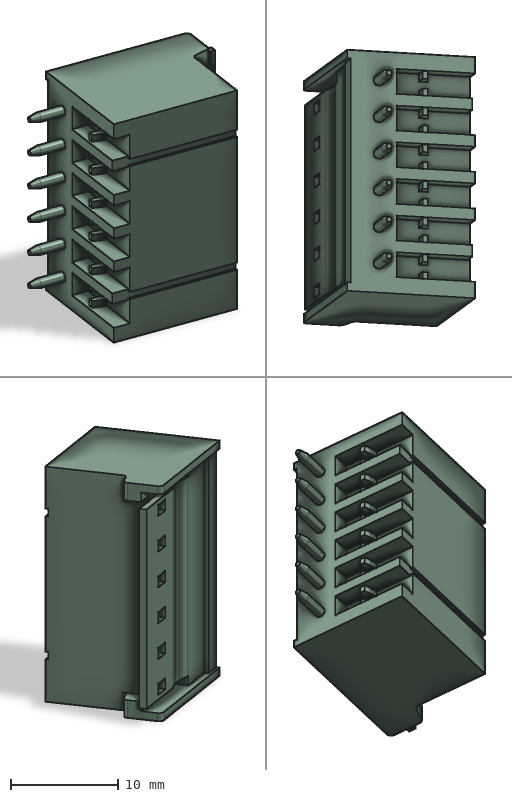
import cadquery as cq

width = 12.4
height = 23.0
depth = 13.39
mid_z = height / 2

pole_count = 6
pole_pitch = 3.5
pole_heights = [mid_z + (i - (pole_count - 1) / 2) * pole_pitch for i in range(pole_count)]

plate_thickness = 0.8
end_wall_thickness = 1.75
ear_depth = 15.48
ear_top_x = 3.8
ear_foot_x = 4.37
ear_corner_radius = 0.48
ear_foot_radius = 0.45

lip_x = 0.35
lip_end_y = 2.0
face_x = 0.75
face_start_y = 2.16
relief_start_y = 6.35
relief_floor_x = 2.07

lever_x = 0.78
lever_thickness = 0.74
lever_back_x = lever_x + lever_thickness
lever_end_y = 17.48
groove_floor_x = 1.05
groove_shoulder_x = 1.0
groove_edge_y = 10.42
groove_upper_shoulder_y = 9.55
groove_upper_floor_y = 9.02
groove_lower_floor_y = 8.05
groove_lower_shoulder_y = 7.52
groove_foot_y = 6.65
window_start_y = 12.45
window_end_y = 14.3
window_height = 1.05

slot_start_x = 4.75
slot_height = 2.4
slot_depth = 1.75

key_depth = 0.28
key_height = 0.75
rib_height = pole_pitch - slot_height
key_offset = (pole_count / 2 - 1) * pole_pitch

ridge_start_x = 7.4
ridge_tip_x = 7.87
ridge_bend_x = 8.07
ridge_root_x = 8.28
ridge_height = 0.71
ridge_front_y = 0.32
ridge_bend_y = 0.92

pin_x = 3.04
pin_diameter = 1.0
pin_tip_diameter = 0.5
pin_shank_length = 2.62
pin_length = 3.6


def box(x0, x1, y0, y1, z0, z1):
    """Box between two opposite corners."""
    return cq.Workplane("XY").box(x1 - x0, y1 - y0, z1 - z0, centered=False).translate((x0, y0, z0))


def prism(points, z0, z1):
    """XY outline extruded from z0 to z1."""
    return cq.Workplane("XY").workplane(offset=z0).polyline(points).close().extrude(z1 - z0)


def make_housing():
    """Block with the ears kept only on the two end walls."""
    outline = [
        (0, 0),
        (width, 0),
        (width, depth),
        (ear_foot_x, depth),
        (ear_top_x, ear_depth),
        (0, ear_depth),
    ]
    body = prism(outline, 0, height)
    body = body.edges("|Z").edges(">Y").fillet(ear_corner_radius)
    foot = cq.selectors.NearestToPointSelector((ear_foot_x, depth, mid_z))
    body = body.edges(foot).fillet(ear_foot_radius)
    between_ears = box(0, width, depth, ear_depth, end_wall_thickness, height - end_wall_thickness)
    return body.cut(between_ears)


def make_lever_side_recess():
    """Space cleared in front of the stepped face and around the lever arm."""
    points = [
        (0, 0),
        (lip_x, 0),
        (lip_x, lip_end_y),
        (face_x, face_start_y),
        (face_x, relief_start_y),
        (relief_floor_x, relief_start_y),
        (relief_floor_x, ear_depth),
        (0, ear_depth),
    ]
    return prism(points, plate_thickness, height - plate_thickness)


def make_lever():
    """Lever bar with its finger groove and one window per pole."""
    points = [
        (lever_back_x, relief_start_y),
        (face_x, relief_start_y),
        (face_x, groove_foot_y),
        (groove_shoulder_x, groove_lower_shoulder_y),
        (groove_floor_x, groove_lower_floor_y),
        (groove_floor_x, groove_upper_floor_y),
        (groove_shoulder_x, groove_upper_shoulder_y),
        (lever_x, groove_edge_y),
        (lever_x, lever_end_y),
        (lever_back_x, lever_end_y),
    ]
    lever = prism(points, end_wall_thickness, height - end_wall_thickness)
    for z in pole_heights:
        window = box(lever_x, lever_back_x, window_start_y, window_end_y,
                     z - window_height / 2, z + window_height / 2)
        lever = lever.cut(window)
    return lever


def make_slot(z):
    """Cutter for one conductor slot, leaving a ridge on its upper and lower wall."""
    half = slot_height / 2
    slot = box(slot_start_x, width, 0, slot_depth, z - half, z + half)
    ridge = [
        (ridge_start_x, slot_depth),
        (ridge_start_x, ridge_front_y),
        (ridge_tip_x, ridge_front_y),
        (ridge_bend_x, ridge_bend_y),
        (ridge_root_x, slot_depth),
    ]
    slot = slot.cut(prism(ridge, z - half, z - half + ridge_height))
    return slot.cut(prism(ridge, z + half - ridge_height, z + half))


def make_key(z):
    """Cutter for one keying groove and the shortened rib in front of it."""
    x = width - key_depth
    groove = box(x, width, 0, depth, z - key_height / 2, z + key_height / 2)
    rib_end = box(x, width, 0, slot_depth, z - rib_height / 2, z + rib_height / 2)
    return groove.union(rib_end)


def make_pin(z):
    """Round solder pin with a tapered tip."""
    radius = pin_diameter / 2
    profile = [
        (0, slot_depth),
        (radius, slot_depth),
        (radius, -pin_shank_length),
        (pin_tip_diameter / 2, -pin_length),
        (0, -pin_length),
    ]
    pin = cq.Workplane("XY").polyline(profile).close().revolve(360, (0, 0, 0), (0, 1, 0))
    return pin.translate((pin_x, 0, z))


result = make_housing().cut(make_lever_side_recess()).union(make_lever())

for pole_z in pole_heights:
    result = result.cut(make_slot(pole_z)).union(make_pin(pole_z))

for key_z in (mid_z - key_offset, mid_z + key_offset):
    result = result.cut(make_key(key_z))